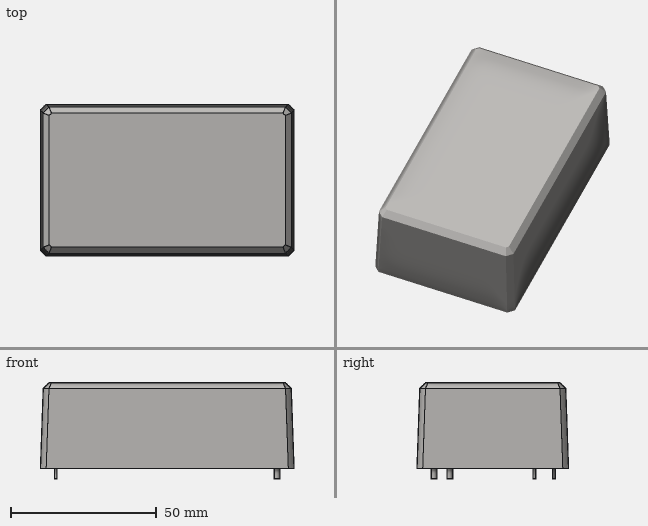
import cadquery as cq

case_length = 87.0
case_width = 52.0
total_height = 33.0
pin_length = 3.5
case_height = total_height - pin_length
draft_angle = 2.0
edge_chamfer = 2.0

thin_pin_diameter = 1.0
thin_pin_x = -38.2
thin_pin_ys = (21.0, 14.3)
thick_pin_diameter = 2.0
thick_pin_x = 37.7
thick_pin_ys = (-14.7, -20.1)


def make_case():
    """Drafted block, chamfered on its four corners and then around its top."""
    block = (
        cq.Workplane("XY")
        .rect(case_length, case_width)
        .extrude(case_height, taper=draft_angle)
    )
    corners = block.edges("not(#Z)")
    return corners.chamfer(edge_chamfer).faces(">Z").edges().chamfer(edge_chamfer)


def make_pins(x, ys, diameter):
    """Row of round pins hanging from the underside of the case."""
    return (
        cq.Workplane("XY")
        .pushPoints([(x, y) for y in ys])
        .circle(diameter / 2)
        .extrude(-pin_length)
    )


thin_pins = make_pins(thin_pin_x, thin_pin_ys, thin_pin_diameter)
thick_pins = make_pins(thick_pin_x, thick_pin_ys, thick_pin_diameter)
result = make_case().union(thin_pins).union(thick_pins)